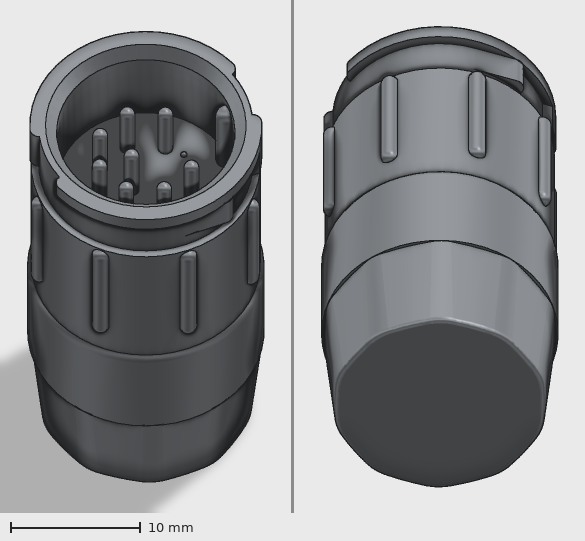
import cadquery as cq
import math

TOTAL_HEIGHT = 35.75
CLAMP_HEIGHT = 8.85
BAND_ROUND_START = 17.02
GRIP_BOTTOM = 17.77
GRIP_TOP = 30.7
RIM_BOTTOM = 34.5
LUG_BOTTOM = 31.85

BAND_RADIUS = 9.12
GRIP_RADIUS = 8.85
NECK_RADIUS = 8.25
RIM_RADIUS = 8.95
BAND_ROUND_MIDDLE = (9.05, 17.45)

CLAMP_SIDES = 10
CLAMP_TOP_RADIUS = 9.1
CLAMP_TOP_CORNER_HALF = 0.75
CLAMP_BOTTOM_RADIUS = 8.25
CLAMP_BOTTOM_CORNER_HALF = 0.9
SIDE_BOW = 5.0
CLAMP_EDGE_ROUND = 0.4

RIB_COUNT = 8
RIB_RADIUS = 0.68
WIDTH_OVER_RIBS = 18.9
RIB_BOTTOM = 20.8
RIB_TOP = 29.9

GAP_HALF_ANGLE = 19.6
LUG_END_RADIUS = 0.75
STOP_LUG_SIDE_X = -4.83
RAMP_LUG_LENGTH = 3.45

SOCKET_RADIUS = 6.85
SOCKET_CHAMFER = 0.85
SOCKET_FLOOR = 27.93
PIN_CIRCLE_RADIUS = 3.83
PIN_CIRCLE_PLACES = 8
PIN_RADIUS = 0.57
PIN_SHOULDER = 32.33
INNER_PIN_Y = -1.18
KEY_RADIUS = 0.9
KEY_Y = 6.75
KEY_SHOULDER = 33.5
MARK_PLACE = (-1.57, 3.8)
MARK_RADIUS = 0.25


def polar(radius, angle):
    """Point at a radius and an angle in degrees."""
    turn = math.radians(angle)
    return (radius * math.cos(turn), radius * math.sin(turn))


def disc(radius, bottom, top, place=(0, 0)):
    """Upright cylinder between two heights."""
    return cq.Workplane("XY", origin=(*place, bottom)).circle(radius).extrude(top - bottom)


def ball(radius, place, height):
    return cq.Workplane("XY", origin=(*place, height)).sphere(radius)


def prism(points, bottom, top):
    """Upright prism with a straight-sided outline."""
    return cq.Workplane("XY", origin=(0, 0, bottom)).polyline(points).close().extrude(top - bottom)


def turned_body():
    return (
        cq.Workplane("XZ")
        .moveTo(0, CLAMP_HEIGHT)
        .lineTo(BAND_RADIUS, CLAMP_HEIGHT)
        .lineTo(BAND_RADIUS, BAND_ROUND_START)
        .threePointArc(BAND_ROUND_MIDDLE, (GRIP_RADIUS, GRIP_BOTTOM))
        .lineTo(GRIP_RADIUS, GRIP_TOP)
        .lineTo(NECK_RADIUS, GRIP_TOP)
        .lineTo(NECK_RADIUS, TOTAL_HEIGHT)
        .lineTo(0, TOTAL_HEIGHT)
        .close()
        .revolve(360, (0, 0, 0), (0, 1, 0))
    )


def clamp_outline(height, corner_radius, corner_half):
    """Closed wire of alternating corner arcs and slightly bowed side arcs that meet smoothly."""
    step = 360 / CLAMP_SIDES
    corner_turn = math.radians(step / 2 - SIDE_BOW)
    end_radial = corner_radius - corner_half * math.tan(corner_turn / 2)
    end_radius = math.hypot(end_radial, corner_half)
    end_angle = math.degrees(math.atan2(corner_half, end_radial))
    side_half_angle = math.radians(step / 2 - end_angle)
    side_bulge = end_radius * math.sin(side_half_angle) * math.tan(math.radians(SIDE_BOW) / 2)
    side_radius = end_radius * math.cos(side_half_angle) + side_bulge

    outline = cq.Workplane("XY", origin=(0, 0, height))
    outline = outline.moveTo(*polar(end_radius, 90 - end_angle))
    for side in range(CLAMP_SIDES):
        corner = 90 + side * step
        outline = outline.threePointArc(polar(corner_radius, corner), polar(end_radius, corner + end_angle))
        outline = outline.threePointArc(
            polar(side_radius, corner + step / 2),
            polar(end_radius, corner + step - end_angle),
        )
    return outline.close().val()


def cable_clamp():
    bottom = clamp_outline(0, CLAMP_BOTTOM_RADIUS, CLAMP_BOTTOM_CORNER_HALF)
    top = clamp_outline(CLAMP_HEIGHT, CLAMP_TOP_RADIUS, CLAMP_TOP_CORNER_HALF)
    clamp = cq.Workplane(cq.Solid.makeLoft([bottom, top], True))
    return clamp.faces("<Z").edges().fillet(CLAMP_EDGE_ROUND)


def grip_rib(angle):
    place = polar(WIDTH_OVER_RIBS / 2 - RIB_RADIUS, angle)
    rib = disc(RIB_RADIUS, RIB_BOTTOM, RIB_TOP, place)
    for end in (RIB_BOTTOM, RIB_TOP):
        rib = rib.union(ball(RIB_RADIUS, place, end))
    return rib


def half_turn_pair(shape):
    return shape.union(shape.rotate((0, 0, 0), (0, 0, 1), 180))


def bayonet_rim():
    """Rim broken by two opposite gaps whose ends are rounded."""
    gap_reach = 2 * RIM_RADIUS
    gap_sides = [polar(gap_reach, -90 + side * GAP_HALF_ANGLE) for side in (-1, 1)]
    gaps = half_turn_pair(prism([(0, 0), *gap_sides], RIM_BOTTOM, TOTAL_HEIGHT))
    rim = disc(RIM_RADIUS, RIM_BOTTOM, TOTAL_HEIGHT).cut(gaps)
    for side in (-1, 1):
        place = polar(RIM_RADIUS - LUG_END_RADIUS, -90 + side * GAP_HALF_ANGLE)
        rim = rim.union(half_turn_pair(disc(LUG_END_RADIUS, RIM_BOTTOM, TOTAL_HEIGHT, place)))
    return rim


def stop_lugs():
    """Lugs beside the gaps: flat on one side, rounded where they end at the gap."""
    reach_y = -RIM_RADIUS
    gap_side_x = reach_y * math.tan(math.radians(GAP_HALF_ANGLE))
    corners = [(0, 0), (STOP_LUG_SIDE_X, 0), (STOP_LUG_SIDE_X, reach_y), (gap_side_x, reach_y)]
    lug = prism(corners, LUG_BOTTOM, RIM_BOTTOM)
    end_center = polar(RIM_RADIUS - LUG_END_RADIUS, -90 - GAP_HALF_ANGLE)
    lug = lug.union(disc(LUG_END_RADIUS, LUG_BOTTOM, RIM_BOTTOM, end_center))
    return half_turn_pair(lug.intersect(disc(RIM_RADIUS, LUG_BOTTOM, RIM_BOTTOM)))


def ramp_lugs():
    """Lugs that rise from the neck along a tangent flat and finish in a rounded end."""
    end_center = (LUG_END_RADIUS - NECK_RADIUS, -RAMP_LUG_LENGTH)
    corners = [(0, 0), (-NECK_RADIUS, 0), (-NECK_RADIUS, -RAMP_LUG_LENGTH), end_center]
    lug = prism(corners, LUG_BOTTOM, RIM_BOTTOM)
    lug = lug.union(disc(LUG_END_RADIUS, LUG_BOTTOM, RIM_BOTTOM, end_center))
    return half_turn_pair(lug)


def socket():
    bore = disc(SOCKET_RADIUS, SOCKET_FLOOR, TOTAL_HEIGHT)
    lead_in = cq.Solid.makeCone(
        SOCKET_RADIUS,
        SOCKET_RADIUS + SOCKET_CHAMFER,
        SOCKET_CHAMFER,
        cq.Vector(0, 0, TOTAL_HEIGHT - SOCKET_CHAMFER),
    )
    return bore.union(cq.Workplane(lead_in))


def domed_pin(radius, place, shoulder):
    """Round pin standing in the socket, rooted below its floor, with a ball end."""
    root = SOCKET_FLOOR - radius
    return disc(radius, root, shoulder, place).union(ball(radius, place, shoulder))


def contact_places():
    """Places on the pin circle, without the one taken by the key, and one inner place."""
    step = 360 / PIN_CIRCLE_PLACES
    ring = [polar(PIN_CIRCLE_RADIUS, 90 + place * step) for place in range(1, PIN_CIRCLE_PLACES)]
    return [*ring, (0, INNER_PIN_Y)]


result = turned_body().union(cable_clamp())
for rib in range(RIB_COUNT):
    result = result.union(grip_rib(rib * 360 / RIB_COUNT))
result = result.union(bayonet_rim()).union(stop_lugs()).union(ramp_lugs())
result = result.cut(socket())
for contact in contact_places():
    result = result.union(domed_pin(PIN_RADIUS, contact, PIN_SHOULDER))
result = result.union(domed_pin(KEY_RADIUS, (0, KEY_Y), KEY_SHOULDER))
result = result.union(ball(MARK_RADIUS, MARK_PLACE, SOCKET_FLOOR))